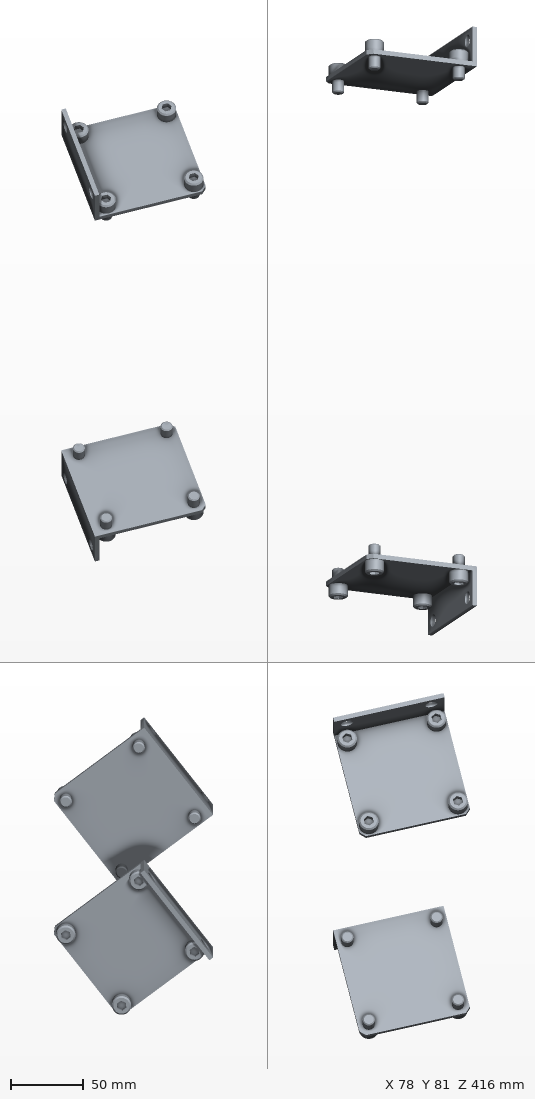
import cadquery as cq
import math

ASSEMBLY_HEIGHT = 416.0

BRACKET_WIDTH = 78.0
BRACKET_DEPTH = 81.0
SHEET = 3.25
FLANGE_HEIGHT = 28.3
CORNER_CHAMFER = 3.7

FLANGE_HOLE_DIAMETER = 8.7
FLANGE_HOLE_SPACING = 60.0
FLANGE_HOLE_FROM_EDGE = 8.0

SCREW_INSET = 7.5
SCREW_SPACING = BRACKET_WIDTH - 2 * SCREW_INSET
HEAD_DIAMETER = 13.5
HEAD_HEIGHT = 8.5
HEAD_CHAMFER = 1.05
SHANK_DIAMETER = 8.5
SHANK_PROJECTION = 8.7
SHANK_CHAMFER = 1.0
SOCKET_FLATS = 6.2
SOCKET_DEPTH = 4.0

HEXAGON_SIDES = 6
SOCKET_CORNERS = SOCKET_FLATS / math.cos(math.pi / HEXAGON_SIDES)
SOCKET_TURN = 90

FRONT_Y = -BRACKET_DEPTH / 2
BACK_Y = BRACKET_DEPTH / 2
UPPER_PLATE_Z = ASSEMBLY_HEIGHT / 2 - FLANGE_HEIGHT
SCREW_CENTER_Y = BACK_Y - SCREW_INSET - SCREW_SPACING / 2


def make_angle():
    """L-shaped sheet with its plate underside at Z = 0 and its flange rising at the front."""
    profile = [
        (FRONT_Y, 0),
        (BACK_Y, 0),
        (BACK_Y, SHEET),
        (FRONT_Y + SHEET, SHEET),
        (FRONT_Y + SHEET, FLANGE_HEIGHT),
        (FRONT_Y, FLANGE_HEIGHT),
    ]
    angle = cq.Workplane("YZ").polyline(profile).close().extrude(BRACKET_WIDTH / 2, both=True)
    return angle.edges("|Z and >Y").chamfer(CORNER_CHAMFER)


def make_flange_holes():
    """Cutters for the two holes near the free edge of the flange."""
    hole_z = FLANGE_HEIGHT - FLANGE_HOLE_FROM_EDGE
    return (
        cq.Workplane("XZ", origin=(0, FRONT_Y, hole_z))
        .rarray(FLANGE_HOLE_SPACING, 4, 2, 1)
        .circle(FLANGE_HOLE_DIAMETER / 2)
        .extrude(-SHEET)
    )


def make_screw():
    """Screw on the Z axis: head on top of the plate, shank passing down through it."""
    head = (
        cq.Workplane("XY", origin=(0, 0, SHEET))
        .circle(HEAD_DIAMETER / 2)
        .extrude(HEAD_HEIGHT)
        .faces(">Z")
        .chamfer(HEAD_CHAMFER)
    )
    shank = (
        cq.Workplane("XY", origin=(0, 0, SHEET))
        .circle(SHANK_DIAMETER / 2)
        .extrude(-(SHEET + SHANK_PROJECTION))
        .faces("<Z")
        .chamfer(SHANK_CHAMFER)
    )
    socket = (
        cq.Workplane("XY", origin=(0, 0, SHEET + HEAD_HEIGHT))
        .transformed(rotate=(0, 0, SOCKET_TURN))
        .polygon(HEXAGON_SIDES, SOCKET_CORNERS)
        .extrude(-SOCKET_DEPTH)
    )
    return head.union(shank).cut(socket)


def make_bracket():
    """Angle with its four screws, all one solid."""
    bracket = make_angle().cut(make_flange_holes())
    screw = make_screw()
    for side_x in (-1, 1):
        for side_y in (-1, 1):
            screw_x = side_x * SCREW_SPACING / 2
            screw_y = SCREW_CENTER_Y + side_y * SCREW_SPACING / 2
            bracket = bracket.union(screw.translate((screw_x, screw_y, 0)))
    return bracket


upper_bracket = make_bracket().translate((0, 0, UPPER_PLATE_Z))
lower_bracket = upper_bracket.mirror("XY")

result = cq.Compound.makeCompound([upper_bracket.val(), lower_bracket.val()])